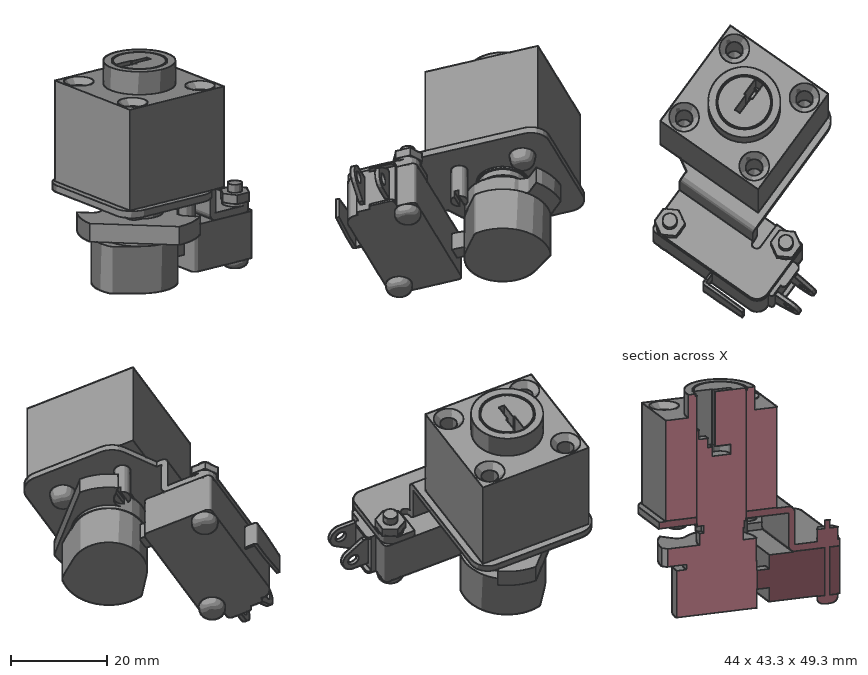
import cadquery as cq
import math


block_side = 25.0
block_height = 22.0
barrel_radius = 7.5
barrel_height = 5.0
housing_top = block_height + barrel_height
block_hole_spacing = 17.9
block_hole_dia = 3.5
block_sink_dia = 6.2
block_hole_depth = 10.0
drill_tip_angle = 118.0
mouth_radius = 5.8
mouth_depth = 0.5

sheet = 1.5
plate_half = 14.0
plate_corner_radius = 4.0
plate_shoulder_radius = 5.0
shoulder_angle = 30.0
shoulder_y = 13.9
flange_outer_y = 16.5
flange_inner_y = flange_outer_y - sheet
bend_radius = sheet
shelf_thickness = 1.6
shelf_bottom = -10.0
shelf_top = shelf_bottom + shelf_thickness
shelf_corner_radius = 2.75
slot_width = 2.0
slot_end_y = 17.5

fastener_offset = 7.0
post_radius = 1.75
post_bottom = -9.5
post_slot_width = 1.0
post_slot_depth = 1.45
screw_head_radius = 2.75
screw_head_rim_radius = 2.65
screw_head_rim = 0.65
screw_head_shoulder = 1.2
screw_head_shoulder_radius = 2.5
screw_head_height = 2.75
screw_head_flat_radius = 0.8
bolt_radius = 1.5
bolt_top = -4.0
nut_flats = 5.5
nut_thickness = 2.0
washer_radius = 2.75
washer_thickness = 0.65
bolt_head_radius = 2.75
bolt_head_rim = 0.5
bolt_head_height = 2.0
bolt_head_flat_radius = 1.2

switch_length = 27.75
switch_width = 15.8
switch_height = 10.3
switch_left = -23.0
switch_front = 10.7
switch_right = switch_left + switch_length
switch_back = switch_front + switch_width
switch_top = shelf_bottom
switch_bottom = switch_top - switch_height
switch_mid = (switch_top + switch_bottom) / 2
switch_large_radius = 2.5
switch_small_radius = 1.0
bolt_inset = 2.75
bolt_places = [
    (switch_left + bolt_inset, switch_front + bolt_inset),
    (switch_right - bolt_inset, switch_back - bolt_inset),
]
cover_depth = 1.0
cover_front = 14.8
cover_back = 23.5
cover_radius = 0.5
lip_depth = 1.0
lip_back = 20.5
lip_thickness = 0.5
lip_radius = 0.9
plunger_width = 3.0
plunger_height = 4.2
plunger_radius = 0.5

blade_tip = -30.0
blade_height = 7.0
blade_thickness = 0.9
blade_tip_radius = 2.5
blade_hole_dia = 2.5
blade_taper_x = -25.1
front_blade_y = 16.6
back_blade_y = 22.05

angle_terminal_leg_x = -10.25
angle_terminal_leg_thickness = 0.5
angle_terminal_thickness = 0.7
angle_terminal_back = 29.3
angle_terminal_tip = -20.5
angle_terminal_taper_x = -14.5
angle_terminal_width = 6.3
angle_terminal_tip_width = 4.8

plug_radius = 5.5
collar_bottom = -2.0
clip_radius = 5.2
clip_bottom = -3.5
clip_gap_outer = 1.95
clip_gap_inner = 1.25
clip_gap_floor = 4.0
neck_radius = 4.95
lever_top = -6.0
lever_thickness = 4.0
hub_radius = 7.9
arm_radius = 13.0
arm_near = 1.78
arm_far = 9.02
arm_fillet = 2.0
cam_top = -11.0
cam_base_radius = 8.0
cam_lobe_radius = 10.05
cam_fillet = 1.3
cam_flank_spread = 7.0
cam_angle = 225.0
key_narrow_width = 1.25
key_wide_width = 2.0
key_back = 2.45
key_step = -1.45
key_floor_steps = [(-3.0, 12.0), (-5.0, 10.0), (-mouth_radius, 8.0)]
key_bore_radius = 2.1
key_bore_depth = 14.0


def rod(radius, bottom, top, x=0.0, y=0.0):
    """Upright cylinder between two heights."""
    return cq.Workplane("XY", origin=(x, y, bottom)).circle(radius).extrude(top - bottom)


def block(x_range, y_range, z_range):
    """Box given by its limits along each axis."""
    sizes = [high - low for low, high in (x_range, y_range, z_range)]
    corner = (x_range[0], y_range[0], z_range[0])
    return cq.Workplane("XY").box(*sizes, centered=False).translate(corner)


def polar(radius, degrees):
    angle = math.radians(degrees)
    return cq.Vector(radius * math.cos(angle), radius * math.sin(angle))


def flat(vector):
    return (vector.x, vector.y)


def sink_hole():
    """Countersunk blind hole with a drill-point floor, as a cutter standing on its own axis."""
    radius = block_hole_dia / 2
    sink_radius = block_sink_dia / 2
    tip_depth = radius / math.tan(math.radians(drill_tip_angle / 2))
    return (
        cq.Workplane("XZ")
        .moveTo(0, 0)
        .lineTo(sink_radius, 0)
        .lineTo(radius, radius - sink_radius)
        .lineTo(radius, -block_hole_depth)
        .lineTo(0, -block_hole_depth - tip_depth)
        .close()
        .revolve(360, (0, 0, 0), (0, 1, 0))
    )


def make_housing():
    body = cq.Workplane("XY").rect(block_side, block_side).extrude(block_height)
    body = body.union(rod(barrel_radius, block_height, housing_top))
    body = body.cut(rod(plug_radius, 0, housing_top))
    body = body.cut(rod(mouth_radius, housing_top - mouth_depth, housing_top))
    half = block_hole_spacing / 2
    for x in (-half, half):
        for y in (-half, half):
            body = body.cut(sink_hole().translate((x, y, block_height)))
    return body


def top_plate():
    """Plate under the housing: narrowed at the back by a sloping shoulder, up to the bend."""
    slope = math.tan(math.radians(shoulder_angle))
    shoulder_end_y = shoulder_y - slope * (plate_half - switch_right)
    plate = (
        cq.Workplane("XY", origin=(0, 0, -sheet))
        .moveTo(-plate_half, -plate_half)
        .lineTo(plate_half, -plate_half)
        .lineTo(plate_half, shoulder_end_y)
        .lineTo(switch_right, shoulder_y)
        .lineTo(switch_right, flange_outer_y)
        .lineTo(-plate_half, flange_outer_y)
        .close()
        .extrude(sheet)
    )
    plate = plate.edges("|Z and <Y").fillet(plate_corner_radius)
    shoulder = cq.selectors.NearestToPointSelector((plate_half, shoulder_end_y, -sheet / 2))
    return plate.edges("|Z").edges(shoulder).fillet(plate_shoulder_radius)


def shelf():
    """Lower plate over the switch; a round-ended slot frees its front tab from the bend."""
    slot_left = -plate_half - slot_width
    z_range = (shelf_bottom, shelf_top)
    plate = block((switch_left, switch_right), (switch_front, switch_back), z_range)
    plate = plate.edges("|Z and (<X or (>X and >Y))").fillet(shelf_corner_radius)
    plate = plate.cut(block((-plate_half, switch_right), (switch_front, flange_inner_y), z_range))
    slot_centre_x = slot_left + slot_width / 2
    slot_centre_y = slot_end_y - slot_width / 2
    slot = block((slot_left, -plate_half), (switch_front, slot_centre_y), z_range)
    slot = slot.union(rod(slot_width / 2, *z_range, slot_centre_x, slot_centre_y))
    return plate.cut(slot)


def sheet_metal():
    flange = block((-plate_half, switch_right), (flange_inner_y, flange_outer_y), (shelf_bottom, 0))
    body = top_plate().union(flange).union(shelf())
    bend_x = (switch_right - plate_half) / 2
    for bend_y, bend_z in ((flange_outer_y, 0), (flange_inner_y, shelf_bottom)):
        bend = cq.selectors.NearestToPointSelector((bend_x, bend_y, bend_z))
        body = body.edges("|X").edges(bend).fillet(bend_radius)
    return body.cut(rod(plug_radius, -sheet, 0))


def post(x, y):
    """Stop post with a driver slot across its lower end."""
    pin = rod(post_radius, post_bottom, -sheet, x, y)
    slot = block(
        (x - post_radius, x + post_radius),
        (y - post_slot_width / 2, y + post_slot_width / 2),
        (post_bottom, post_bottom + post_slot_depth),
    )
    return pin.cut(slot)


def dome(start_radius, flat_radius, height):
    """Bulge of a head below z = 0: a quarter-round from the rim down to a small flat."""
    middle = polar(1, -45)
    bulge = (flat_radius + (start_radius - flat_radius) * middle.x, height * middle.y)
    return (
        cq.Workplane("XZ")
        .moveTo(0, 0)
        .lineTo(start_radius, 0)
        .threePointArc(bulge, (flat_radius, -height))
        .lineTo(0, -height)
        .close()
        .revolve(360, (0, 0, 0), (0, 1, 0))
    )


def screw_head(x, y):
    """Head of a housing screw: two slightly tapered bands and a dome."""
    rim = (
        cq.Workplane("XZ")
        .moveTo(0, 0)
        .lineTo(screw_head_radius, 0)
        .lineTo(screw_head_rim_radius, -screw_head_rim)
        .lineTo(screw_head_shoulder_radius, -screw_head_shoulder)
        .lineTo(0, -screw_head_shoulder)
        .close()
        .revolve(360, (0, 0, 0), (0, 1, 0))
    )
    crown = dome(screw_head_shoulder_radius, screw_head_flat_radius, screw_head_height - screw_head_shoulder)
    return rim.union(crown.translate((0, 0, -screw_head_shoulder))).translate((x, y, -sheet))


def bolt(x, y):
    """Through bolt with its washer and nut on the shelf and its round head under the switch."""
    head_rim_bottom = switch_bottom - bolt_head_rim
    washer_top = shelf_top + washer_thickness
    body = rod(bolt_radius, switch_bottom, bolt_top, x, y)
    body = body.union(rod(bolt_head_radius, head_rim_bottom, switch_bottom, x, y))
    crown = dome(bolt_head_radius, bolt_head_flat_radius, bolt_head_height - bolt_head_rim)
    body = body.union(crown.translate((x, y, head_rim_bottom)))
    body = body.union(rod(washer_radius, shelf_top, washer_top, x, y))
    nut_corners = nut_flats / math.cos(math.radians(30))
    nut = cq.Workplane("XY").polygon(6, nut_corners).extrude(nut_thickness)
    nut = nut.rotate((0, 0, 0), (0, 0, 1), 30)
    return body.union(nut.translate((x, y, washer_top)))


def make_bracket():
    body = sheet_metal()
    for x in (-fastener_offset, fastener_offset):
        body = body.union(post(x, fastener_offset))
        body = body.union(screw_head(x, -fastener_offset))
    for x, y in bolt_places:
        body = body.union(bolt(x, y))
    return body


def switch_case():
    z_range = (switch_bottom, switch_top)
    case = block((switch_left, switch_right), (switch_front, switch_back), z_range)
    case = case.edges("|Z and <X and >Y").fillet(switch_large_radius)
    case = case.edges("|Z and (<Y or (>X and >Y))").fillet(switch_small_radius)
    for x, y in bolt_places:
        case = case.cut(rod(bolt_radius, *z_range, x, y))
    return case


def terminal_cover():
    """Raised terminal end of the case, with a lip along its top and bottom."""
    z_range = (switch_bottom, switch_top)
    cover_left = switch_left - cover_depth
    cover = block((cover_left, switch_left), (cover_front, cover_back), z_range)
    cover = cover.edges("|Z and <X and >Y").fillet(cover_radius)
    lip_left = cover_left - lip_depth
    lip = block((lip_left, cover_left), (cover_front, lip_back), (0, lip_thickness))
    lip = lip.edges("|Z and <X").fillet(lip_radius)
    cover = cover.union(lip.translate((0, 0, switch_bottom)))
    return cover.union(lip.translate((0, 0, switch_top - lip_thickness)))


def blade(y, flipped):
    """Terminal blade: an eyelet end with one straight edge and one edge tapering to the round."""
    half = blade_height / 2
    eye_x = blade_tip + blade_tip_radius
    eye_z = blade_tip_radius - half
    root_x = switch_left - cover_depth
    run = blade_taper_x - eye_x
    rise = half - eye_z
    tangent = math.degrees(math.atan2(rise, run) + math.acos(blade_tip_radius / math.hypot(run, rise)))
    touch = cq.Vector(eye_x, eye_z) + polar(blade_tip_radius, tangent)
    middle = cq.Vector(eye_x, eye_z) + polar(blade_tip_radius, (tangent + 270) / 2)
    shape = (
        cq.Workplane("XZ")
        .moveTo(root_x, -half)
        .lineTo(root_x, half)
        .lineTo(blade_taper_x, half)
        .lineTo(*flat(touch))
        .threePointArc(flat(middle), (eye_x, -half))
        .close()
        .extrude(blade_thickness / 2, both=True)
    )
    eye = cq.Workplane("XZ").center(eye_x, eye_z).circle(blade_hole_dia / 2)
    shape = shape.cut(eye.extrude(blade_thickness, both=True))
    if flipped:
        shape = shape.mirror("XY")
    return shape.translate((0, y, switch_mid))


def angle_terminal():
    """Bent terminal at the back: a leg out of the case and a tongue tapering to its tip."""
    inner_y = angle_terminal_back - angle_terminal_thickness
    leg_left = angle_terminal_leg_x - angle_terminal_leg_thickness
    outline = (
        cq.Workplane("XY")
        .moveTo(angle_terminal_leg_x, switch_back)
        .lineTo(angle_terminal_leg_x, angle_terminal_back)
        .lineTo(angle_terminal_tip, angle_terminal_back)
        .lineTo(angle_terminal_tip, inner_y)
        .lineTo(leg_left, inner_y)
        .lineTo(leg_left, switch_back)
        .close()
        .extrude(angle_terminal_width / 2, both=True)
        .edges("|Z and >X and >Y")
        .fillet(angle_terminal_leg_thickness)
    )
    half = angle_terminal_width / 2
    tip_half = angle_terminal_tip_width / 2
    tongue = (
        cq.Workplane("XZ", origin=(0, switch_back, 0))
        .moveTo(angle_terminal_tip, -tip_half)
        .lineTo(angle_terminal_taper_x, -half)
        .lineTo(angle_terminal_leg_x, -half)
        .lineTo(angle_terminal_leg_x, half)
        .lineTo(angle_terminal_taper_x, half)
        .lineTo(angle_terminal_tip, tip_half)
        .close()
        .extrude(switch_back - angle_terminal_back)
    )
    return outline.intersect(tongue).translate((0, 0, switch_mid))


def plunger():
    """Button reaching from the case to the cam's base circle."""
    button = block(
        (-plunger_width / 2, plunger_width / 2),
        (cam_base_radius, switch_front),
        (switch_mid - plunger_height / 2, switch_mid + plunger_height / 2),
    )
    return button.edges("|Z and <Y").fillet(plunger_radius)


def make_switch():
    body = switch_case().union(terminal_cover())
    body = body.union(blade(front_blade_y, False))
    body = body.union(blade(back_blade_y, True))
    return body.union(angle_terminal()).union(plunger())


def cut_keyway(plug):
    """Keyway: a narrow back part and a wide front part whose floor rises towards the rim."""
    depth = key_floor_steps[0][1]
    half_narrow = key_narrow_width / 2
    plug = plug.cut(
        block((-half_narrow, half_narrow), (key_step, key_back), (housing_top - depth, housing_top))
    )
    half_wide = key_wide_width / 2
    start = key_step
    for end, step_depth in key_floor_steps:
        z_range = (housing_top - step_depth, housing_top)
        plug = plug.cut(block((-half_wide, half_wide), (end, start), z_range))
        start = end
    return plug.cut(rod(key_bore_radius, housing_top - key_bore_depth, housing_top - depth))


def clip():
    """Retaining ring around the neck with a tapered gap at the front."""
    ring = rod(clip_radius, clip_bottom, collar_bottom)
    gap = (
        cq.Workplane("XY", origin=(0, 0, clip_bottom))
        .moveTo(-clip_gap_inner / 2, -clip_gap_floor)
        .lineTo(clip_gap_inner / 2, -clip_gap_floor)
        .lineTo(clip_gap_outer / 2, -clip_radius)
        .lineTo(-clip_gap_outer / 2, -clip_radius)
        .close()
        .extrude(collar_bottom - clip_bottom)
    )
    return ring.cut(gap)


def lever():
    """Hub with a stop arm to one side; its ends lie on a circle about the axis.

    The lobe of the cam points along X here, the arm along Y.
    """
    bottom = lever_top - lever_thickness
    arm = rod(arm_radius, bottom, lever_top)
    arm = arm.intersect(block((-arm_radius, arm_radius), (arm_near, arm_far), (bottom, lever_top)))
    body = rod(hub_radius, bottom, lever_top).union(arm)
    root_x = math.sqrt(hub_radius**2 - arm_near**2)
    for x in (-root_x, root_x):
        root = cq.selectors.NearestToPointSelector((x, arm_near, (bottom + lever_top) / 2))
        body = body.edges("|Z").edges(root).fillet(arm_fillet)
    return body.union(rod(hub_radius, cam_top, bottom))


def cam():
    """Disc cam with its lobe along X: straight flanks touch the base circle, rounded to the lobe."""
    normal = polar(1, 90 + cam_flank_spread)
    along = polar(1, cam_flank_spread)
    centre_offset = cam_base_radius - cam_fillet
    centre_distance = cam_lobe_radius - cam_fillet
    run = math.sqrt(centre_distance**2 - centre_offset**2)
    centre = normal * centre_offset + along * run
    outward = centre.normalized()
    base_end = normal * cam_base_radius
    flank_end = base_end + along * run
    fillet_middle = centre + (normal + outward).normalized() * cam_fillet
    lobe_end = outward * cam_lobe_radius

    def mirrored(point):
        return (point.x, -point.y)

    return (
        cq.Workplane("XY", origin=(0, 0, cam_top))
        .moveTo(*flat(base_end))
        .lineTo(*flat(flank_end))
        .threePointArc(flat(fillet_middle), flat(lobe_end))
        .threePointArc((cam_lobe_radius, 0), mirrored(lobe_end))
        .threePointArc(mirrored(fillet_middle), mirrored(flank_end))
        .lineTo(*mirrored(base_end))
        .threePointArc((-cam_base_radius, 0), flat(base_end))
        .close()
        .extrude(-switch_height)
    )


def make_rotor():
    body = cut_keyway(rod(plug_radius, collar_bottom, housing_top))
    body = body.union(clip()).union(rod(neck_radius, lever_top, clip_bottom))
    turned = lever().union(cam()).rotate((0, 0, 0), (0, 0, 1), cam_angle)
    return body.union(turned)


housing = make_housing()
bracket = make_bracket()
switch = make_switch()
rotor = make_rotor()

result = cq.Compound.makeCompound([housing.val(), bracket.val(), switch.val(), rotor.val()])